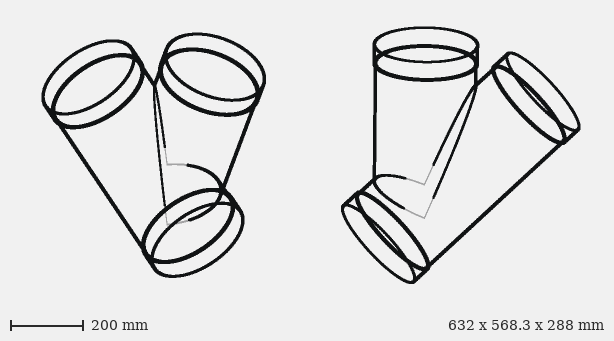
import cadquery as cq
import math

WALL = 4.0
PIPE_OUTER_DIA = 280.0
PIPE_BORE_DIA = PIPE_OUTER_DIA - 2 * WALL
SOCKET_BORE_DIA = PIPE_OUTER_DIA
SOCKET_OUTER_DIA = SOCKET_BORE_DIA + 2 * WALL
SOCKET_DEPTH = 50.0
SHOULDER_LENGTH = WALL
SOCKET_LENGTH = SOCKET_DEPTH + SHOULDER_LENGTH

LONG_ARM = 456.0
SHORT_ARM = 176.0
BRANCH_ARM = LONG_ARM
BRANCH_ANGLE = 45.0

LONG_ARM_HEADING = 180.0
SHORT_ARM_HEADING = 0.0
BRANCH_HEADING = LONG_ARM_HEADING - BRANCH_ANGLE


def direction_of(heading):
    """Unit vector in the XY plane along a heading in degrees."""
    angle = math.radians(heading)
    return cq.Vector(math.cos(angle), math.sin(angle), 0)


def cylinder(heading, start, end, diameter):
    """Cylinder along a heading, between two distances from the axis crossing."""
    axis = direction_of(heading)
    solid = cq.Solid.makeCylinder(diameter / 2, end - start, axis * start, axis)
    return cq.Workplane(obj=solid)


def cone(heading, start, end, start_diameter, end_diameter):
    """Truncated cone along a heading, between two distances from the axis crossing."""
    axis = direction_of(heading)
    solid = cq.Solid.makeCone(start_diameter / 2, end_diameter / 2, end - start, axis * start, axis)
    return cq.Workplane(obj=solid)


def arm_outside(heading, length):
    """Pipe body with a wider socket at its free end."""
    pipe = cylinder(heading, 0, length, PIPE_OUTER_DIA)
    socket = cylinder(heading, length - SOCKET_LENGTH, length, SOCKET_OUTER_DIA)
    return pipe.union(socket)


def arm_inside(heading, length):
    """Pipe bore that widens through a conical shoulder into the socket bore."""
    shoulder_start = length - SOCKET_LENGTH
    socket_start = length - SOCKET_DEPTH
    bore = cylinder(heading, 0, shoulder_start, PIPE_BORE_DIA)
    shoulder = cone(heading, shoulder_start, socket_start, PIPE_BORE_DIA, SOCKET_BORE_DIA)
    socket_bore = cylinder(heading, socket_start, length, SOCKET_BORE_DIA)
    return bore.union(shoulder).union(socket_bore)


def join_arms(make_arm):
    """Long arm, short arm and branch fused into one Y shape."""
    long_arm = make_arm(LONG_ARM_HEADING, LONG_ARM)
    short_arm = make_arm(SHORT_ARM_HEADING, SHORT_ARM)
    branch = make_arm(BRANCH_HEADING, BRANCH_ARM)
    return long_arm.union(short_arm).union(branch)


result = join_arms(arm_outside).cut(join_arms(arm_inside)).clean()